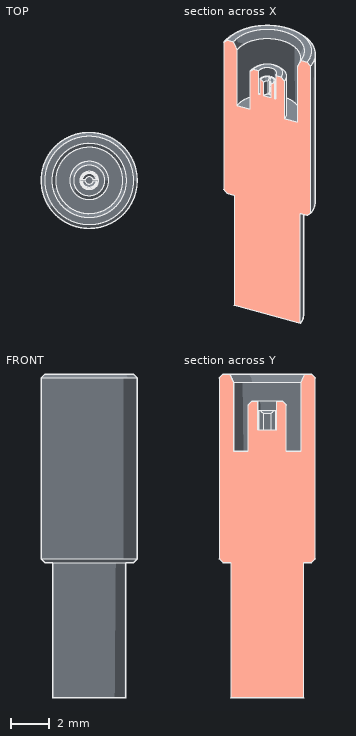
import cadquery as cq

total_length = 16.8
body_radius = 2.5
stem_radius = 1.9
stem_length = 7.0
body_chamfer = 0.2

bore_radius = 1.73
mouth_radius = 1.93
mouth_depth = 0.45
bore_depth = 4.0

post_radius = 1.0
post_chamfer = 0.2
post_recess = 1.4

contact_hole_radius = 0.48
contact_hole_depth = 1.5

sleeve_radius = 0.42
sleeve_recess = 0.5
funnel_rim_radius = 0.36
sleeve_bore_radius = 0.2
funnel_depth = 0.15
sleeve_slot_width = 0.08

socket_floor_z = total_length - bore_depth
post_top_z = total_length - post_recess
contact_floor_z = post_top_z - contact_hole_depth
sleeve_top_z = post_top_z - sleeve_recess
funnel_floor_z = sleeve_top_z - funnel_depth


def cylinder(radius, bottom_z, top_z):
    return cq.Workplane("XY").workplane(offset=bottom_z).circle(radius).extrude(top_z - bottom_z)


def cone(bottom_radius, top_radius, bottom_z, top_z):
    return (
        cq.Workplane("XY")
        .workplane(offset=bottom_z)
        .circle(bottom_radius)
        .workplane(offset=top_z - bottom_z)
        .circle(top_radius)
        .loft(ruled=True)
    )


def make_shell():
    stem = cylinder(stem_radius, 0, stem_length)
    body = cylinder(body_radius, stem_length, total_length)
    body = body.faces("<Z or >Z").edges().chamfer(body_chamfer)
    bore = cylinder(bore_radius, socket_floor_z, total_length)
    mouth = cone(bore_radius, mouth_radius, total_length - mouth_depth, total_length)
    return stem.union(body).cut(bore).cut(mouth)


def make_post():
    post = cylinder(post_radius, socket_floor_z, post_top_z)
    post = post.faces(">Z").edges().chamfer(post_chamfer)
    hole = cylinder(contact_hole_radius, contact_floor_z, post_top_z)
    return post.cut(hole)


def make_contact_sleeve():
    sleeve = cylinder(sleeve_radius, contact_floor_z, sleeve_top_z)
    bore = cylinder(sleeve_bore_radius, contact_floor_z, sleeve_top_z)
    funnel = cone(sleeve_bore_radius, funnel_rim_radius, funnel_floor_z, sleeve_top_z)
    slot = (
        cq.Workplane("XY")
        .workplane(offset=contact_floor_z)
        .rect(2 * sleeve_radius, sleeve_slot_width)
        .extrude(sleeve_top_z - contact_floor_z)
    )
    return sleeve.cut(bore).cut(funnel).cut(slot)


result = make_shell().union(make_post()).union(make_contact_sleeve())